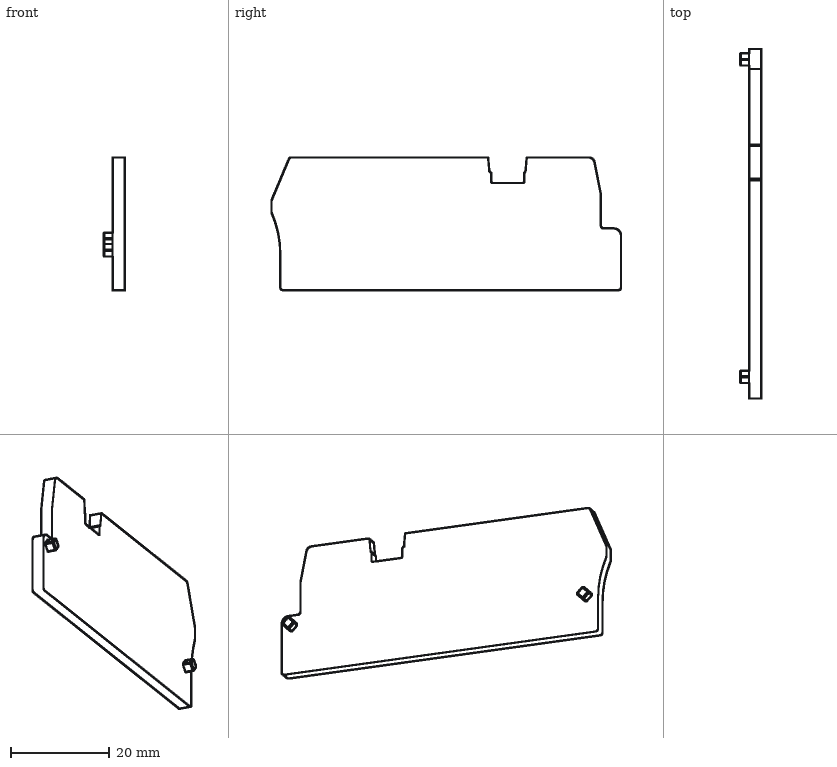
import cadquery as cq
import math

total_width = 4.35
length = 71.05
height = 27.0

plate_thickness = 2.5
pin_length = total_width - plate_thickness

shoulder_length = 4.1
shoulder_height = 12.6
shoulder_round = 1.6
shoulder_inner_round = 0.5

flank_start_height = 19.5
flank_run = 1.5
flank_top_round = 1.25

notch_top_start = 19.2
notch_top_end = 27.0
notch_floor_start = 19.7
notch_floor_end = 26.35
notch_floor_height = 21.8
notch_ledge_height = 23.8
notch_ledge_rise = 0.4
notch_upper_lean = 0.25
notch_corner_round = 0.25

nose_top_start = 67.35
nose_peak_height = 18.2
nose_lower_height = 15.8
nose_top_round = 0.6
nose_peak_round = 0.3
nose_lower_round = 1.0

base_length = 69.25
hollow_bottom_height = 7.3
hollow_radius = 21.0

base_corner_round = 0.6

pin_side = 2.0
pin_corner_chamfer = 0.2
pin_end_chamfer = 0.2
pin_turn = 45
pin_centres = [(2.15, 10.45), (66.6, 8.1)]


def hollow_point(z):
    """Point of the hollow arc at height z."""
    rise = z - hollow_bottom_height
    offset = hollow_radius - math.sqrt(hollow_radius**2 - rise**2)
    return (base_length + offset, z)


def from_plus_y_end(point):
    """Turn (distance from the +Y end, height) into (Y, Z) with the part centred along Y."""
    distance, z = point
    return (length / 2 - distance, z)


def round_edge(body, point, radius):
    """Round the plate edge that runs along X through the given profile point."""
    y, z = from_plus_y_end(point)
    edge = cq.selectors.NearestToPointSelector((plate_thickness / 2, y, z))
    return body.edges("|X").edges(edge).fillet(radius)


def make_plate():
    base_plus_y = (0, 0)
    base_minus_y = (base_length, 0)
    shoulder_outer = (0, shoulder_height)
    shoulder_inner = (shoulder_length, shoulder_height)
    flank_top = (shoulder_length + flank_run, height)
    nose_top = (nose_top_start, height)
    nose_peak = (length, nose_peak_height)

    upper_outline = [
        shoulder_outer,
        shoulder_inner,
        (shoulder_length, flank_start_height),
        flank_top,
        (notch_top_start, height),
        (notch_top_start + notch_upper_lean, notch_ledge_height + notch_ledge_rise),
        (notch_floor_start, notch_ledge_height),
        (notch_floor_start, notch_floor_height),
        (notch_floor_end, notch_floor_height),
        (notch_floor_end, notch_ledge_height),
        (notch_top_end - notch_upper_lean, notch_ledge_height + notch_ledge_rise),
        (notch_top_end, height),
        nose_top,
        nose_peak,
        hollow_point(nose_lower_height),
    ]
    hollow_middle = hollow_point((nose_lower_height + hollow_bottom_height) / 2)
    hollow_bottom = hollow_point(hollow_bottom_height)

    profile = cq.Workplane("YZ").moveTo(*from_plus_y_end(base_plus_y))
    for point in upper_outline:
        profile = profile.lineTo(*from_plus_y_end(point))
    profile = profile.threePointArc(from_plus_y_end(hollow_middle), from_plus_y_end(hollow_bottom))
    profile = profile.lineTo(*from_plus_y_end(base_minus_y)).close()
    plate = profile.extrude(plate_thickness)

    rounds = [
        (base_plus_y, base_corner_round),
        (base_minus_y, base_corner_round),
        (shoulder_outer, shoulder_round),
        (shoulder_inner, shoulder_inner_round),
        (flank_top, flank_top_round),
        (nose_top, nose_top_round),
        (nose_peak, nose_peak_round),
        (hollow_point(nose_lower_height), nose_lower_round),
        ((notch_top_start, height), notch_corner_round),
        ((notch_floor_start, notch_floor_height), notch_corner_round),
        ((notch_floor_end, notch_floor_height), notch_corner_round),
        ((notch_top_end, height), notch_corner_round),
    ]
    for point, radius in rounds:
        plate = round_edge(plate, point, radius)
    return plate


def make_pin(centre):
    """Square pin on the -X face of the plate, chamfered along its corners and around its free end."""
    y, z = from_plus_y_end(centre)
    pin = cq.Workplane("YZ").rect(pin_side, pin_side).extrude(-pin_length)
    pin = pin.edges("|X").chamfer(pin_corner_chamfer)
    pin = pin.faces("<X").chamfer(pin_end_chamfer)
    return pin.rotate((0, 0, 0), (1, 0, 0), pin_turn).translate((0, y, z))


result = make_plate()
for pin_centre in pin_centres:
    result = result.union(make_pin(pin_centre))